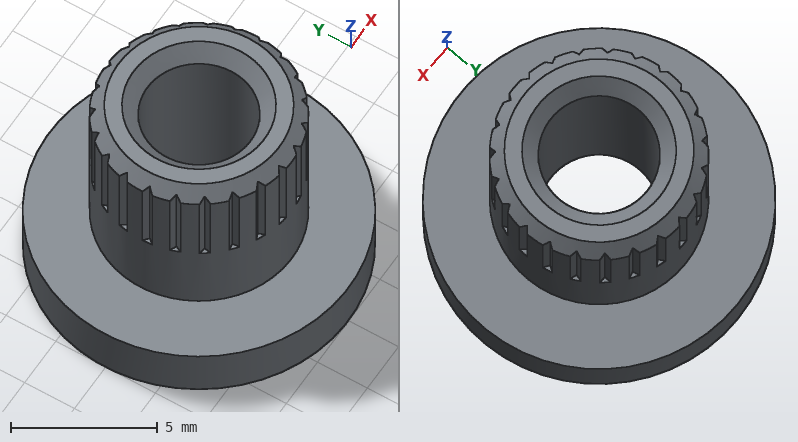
import cadquery as cq

total_height = 8.4
flange_diameter = 12.0
flange_thickness = 2.0

sleeve_diameter = 7.45
sleeve_chamfer = 0.5

bore_diameter = 4.14
bore_chamfer = 0.55

groove_count = 23
groove_depth = 0.19
groove_length = 3.48
groove_overrun = 0.12

sleeve_radius = sleeve_diameter / 2


def bushing_body():
    """Flange and chamfered sleeve with the bore through both."""
    flange = cq.Workplane("XY").circle(flange_diameter / 2).extrude(flange_thickness)
    sleeve = (
        cq.Workplane("XY")
        .circle(sleeve_radius)
        .extrude(total_height)
        .faces(">Z")
        .chamfer(sleeve_chamfer)
    )
    bore = cq.Workplane("XY").circle(bore_diameter / 2).extrude(total_height)
    lead_in = cq.Workplane(
        cq.Solid.makeCone(
            bore_diameter / 2,
            bore_diameter / 2 + bore_chamfer,
            bore_chamfer,
            pnt=cq.Vector(0, 0, total_height - bore_chamfer),
        )
    )
    return flange.union(sleeve).cut(bore).cut(lead_in)


def groove_cutter():
    """90 degree V prism at +Y with its tip one groove depth inside the sleeve."""
    tip_y = sleeve_radius - groove_depth
    half_width = groove_depth + groove_overrun
    outer_y = tip_y + half_width
    return (
        cq.Workplane("XY")
        .workplane(offset=total_height - groove_length)
        .polyline([(0, tip_y), (half_width, outer_y), (-half_width, outer_y)])
        .close()
        .extrude(groove_length)
    )


result = bushing_body()
cutter = groove_cutter()
for index in range(groove_count):
    angle = index * 360 / groove_count
    result = result.cut(cutter.rotate((0, 0, 0), (0, 0, 1), angle))